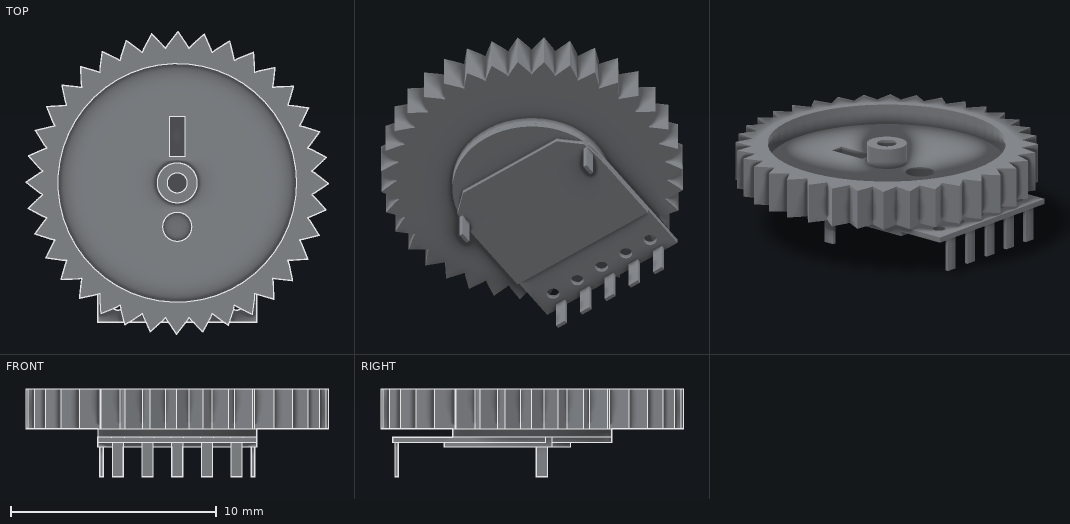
import cadquery as cq
import math


TOOTH_COUNT = 36
TIP_RADIUS = 7.35
TIP_LEAN = 0.037
SHOULDER_RADIUS = 6.72
SHOULDER_HALF_WIDTH = 0.47
ROOT_RADIUS = 6.55
RIM_THICKNESS = 1.94
RECESS_RADIUS = 5.79
RECESS_DEPTH = 1.0
HUB_RADIUS = 0.97
BORE_RADIUS = HUB_RADIUS / 2
SLOT_WIDTH = 0.74
SLOT_INNER_Y = 1.28
SLOT_LENGTH = 1.94
POCKET_RADIUS = 0.7
POCKET_Y = -2.13
POCKET_DEPTH = 0.5
COLLAR_RADIUS = 3.87
COLLAR_HEIGHT = 0.4

BOARD_THICKNESS = 0.26
BOARD_FRONT_Y = -6.78
TERMINAL_COUNT = 5
TERMINAL_PITCH = 1.44
TERMINAL_WIDTH = 0.55
TERMINAL_THICKNESS = 0.18
TERMINAL_Y = -6.59
TERMINAL_HOLE_RADIUS = 0.31
TERMINAL_HOLE_Y = -5.87

BRACKET_THICKNESS = 0.22
BRACKET_FRONT_Y = -4.28
BRACKET_BACK_Y = 1.87
BRACKET_BACK_HALF_WIDTH = 2.78
SIDE_ARC_START_Y = -0.74
TAB_FRONT_Y = 0.65
TAB_BACK_Y = 0.95
TAB_INNER_X = 3.56
LEG_INNER_X = 3.59
LEG_THICKNESS = 0.18
LEG_WIDTH = 0.56
LEG_Y = 0.47
LEG_LENGTH = 1.44

RIM_BOTTOM_Z = COLLAR_HEIGHT
WHEEL_TOP_Z = RIM_BOTTOM_Z + RIM_THICKNESS
RECESS_FLOOR_Z = WHEEL_TOP_Z - RECESS_DEPTH
BOARD_BOTTOM_Z = -BOARD_THICKNESS
BRACKET_BOTTOM_Z = BOARD_BOTTOM_Z - BRACKET_THICKNESS
PIN_BOTTOM_Z = BRACKET_BOTTOM_Z - LEG_LENGTH


def box(x_range, y_range, z_range):
    """Box between two limits along each axis."""
    sizes = [high - low for low, high in (x_range, y_range, z_range)]
    return cq.Workplane("XY").box(*sizes, centered=False).translate((x_range[0], y_range[0], z_range[0]))


def cylinder(radius, bottom_z, top_z, y=0.0):
    """Upright cylinder centred at X = 0."""
    return cq.Workplane("XY", origin=(0, y, bottom_z)).circle(radius).extrude(top_z - bottom_z)


def tooth_outline():
    """Closed list of points around all the teeth, clockwise."""
    half_pitch = math.pi / TOOTH_COUNT
    shoulder_y = math.sqrt(SHOULDER_RADIUS**2 - SHOULDER_HALF_WIDTH**2)
    one_tooth = [
        (-ROOT_RADIUS * math.sin(half_pitch), ROOT_RADIUS * math.cos(half_pitch)),
        (-SHOULDER_HALF_WIDTH, shoulder_y),
        (TIP_LEAN, TIP_RADIUS),
        (SHOULDER_HALF_WIDTH, shoulder_y),
    ]
    points = []
    for tooth in range(TOOTH_COUNT):
        turn = 2 * half_pitch * tooth
        for x, y in one_tooth:
            points.append(
                (
                    x * math.cos(turn) + y * math.sin(turn),
                    y * math.cos(turn) - x * math.sin(turn),
                )
            )
    return points


def make_wheel():
    """Dished toothed wheel with a central hub above and a collar below."""
    rim_base = cq.Workplane("XY", origin=(0, 0, RIM_BOTTOM_Z))
    rim = rim_base.polyline(tooth_outline()).close().extrude(RIM_THICKNESS)
    recess = cylinder(RECESS_RADIUS, RECESS_FLOOR_Z, WHEEL_TOP_Z)
    hub = cylinder(HUB_RADIUS, RECESS_FLOOR_Z, WHEEL_TOP_Z)
    collar = cylinder(COLLAR_RADIUS, 0, RIM_BOTTOM_Z)
    bore = cylinder(BORE_RADIUS, 0, WHEEL_TOP_Z)
    slot = box(
        (-SLOT_WIDTH / 2, SLOT_WIDTH / 2),
        (SLOT_INNER_Y, SLOT_INNER_Y + SLOT_LENGTH),
        (0, RECESS_FLOOR_Z),
    )
    pocket = cylinder(POCKET_RADIUS, RECESS_FLOOR_Z - POCKET_DEPTH, RECESS_FLOOR_Z, POCKET_Y)
    return rim.cut(recess).union(hub).union(collar).cut(bore).cut(slot).cut(pocket)


def bracket_outline(bottom_z, height):
    """Slab with the bracket's full outline: straight sides, bent in towards a chamfered back."""
    arc_end_x = math.sqrt(COLLAR_RADIUS**2 - TAB_BACK_Y**2)
    return (
        cq.Workplane("XY", origin=(0, 0, bottom_z))
        .moveTo(-COLLAR_RADIUS, BRACKET_FRONT_Y)
        .lineTo(COLLAR_RADIUS, BRACKET_FRONT_Y)
        .lineTo(COLLAR_RADIUS, SIDE_ARC_START_Y)
        .tangentArcPoint((arc_end_x, TAB_BACK_Y), relative=False)
        .lineTo(BRACKET_BACK_HALF_WIDTH, BRACKET_BACK_Y)
        .lineTo(-BRACKET_BACK_HALF_WIDTH, BRACKET_BACK_Y)
        .lineTo(-arc_end_x, TAB_BACK_Y)
        .threePointArc(side_arc_middle(arc_end_x), (-COLLAR_RADIUS, SIDE_ARC_START_Y))
        .close()
        .extrude(height)
    )


def side_arc_middle(arc_end_x):
    """Middle point of the left side arc, which is tangent to the straight side."""
    inset = COLLAR_RADIUS - arc_end_x
    rise = TAB_BACK_Y - SIDE_ARC_START_Y
    radius = (inset**2 + rise**2) / (2 * inset)
    half_angle = math.asin(rise / radius) / 2
    return (
        -COLLAR_RADIUS + radius * (1 - math.cos(half_angle)),
        SIDE_ARC_START_Y + radius * math.sin(half_angle),
    )


def tab_zones():
    """Spaces at the left and right of the board that the bracket's tabs rise through."""
    y_range = (TAB_FRONT_Y, TAB_BACK_Y)
    z_range = (BOARD_BOTTOM_Z, 0)
    right = box((TAB_INNER_X, COLLAR_RADIUS), y_range, z_range)
    left = box((-COLLAR_RADIUS, -TAB_INNER_X), y_range, z_range)
    return right.union(left)


def make_board():
    """Notched board with a row of flat terminals and a round hole behind each one."""
    board = cylinder(COLLAR_RADIUS, BOARD_BOTTOM_Z, 0).union(
        box((-COLLAR_RADIUS, COLLAR_RADIUS), (BOARD_FRONT_Y, 0), (BOARD_BOTTOM_Z, 0))
    )
    board = board.cut(tab_zones())
    for index in range(TERMINAL_COUNT):
        x = (index - (TERMINAL_COUNT - 1) / 2) * TERMINAL_PITCH
        hole = cylinder(TERMINAL_HOLE_RADIUS, BOARD_BOTTOM_Z, 0, TERMINAL_HOLE_Y).translate((x, 0, 0))
        terminal = box(
            (x - TERMINAL_WIDTH / 2, x + TERMINAL_WIDTH / 2),
            (TERMINAL_Y - TERMINAL_THICKNESS / 2, TERMINAL_Y + TERMINAL_THICKNESS / 2),
            (PIN_BOTTOM_Z, BOARD_BOTTOM_Z),
        )
        board = board.cut(hole).union(terminal)
    return board


def make_bracket():
    """Flat bracket with a tab and a leg on each side."""
    slab = bracket_outline(BRACKET_BOTTOM_Z, BRACKET_THICKNESS)
    tabs = bracket_outline(BOARD_BOTTOM_Z, BOARD_THICKNESS).intersect(tab_zones())
    bracket = slab.union(tabs)
    for inner_x in (LEG_INNER_X, -LEG_INNER_X - LEG_THICKNESS):
        leg = box(
            (inner_x, inner_x + LEG_THICKNESS),
            (LEG_Y - LEG_WIDTH / 2, LEG_Y + LEG_WIDTH / 2),
            (PIN_BOTTOM_Z, BRACKET_BOTTOM_Z),
        )
        bracket = bracket.union(leg)
    return bracket


wheel = make_wheel()
board = make_board()
bracket = make_bracket()

result = cq.Compound.makeCompound([part.solids().val() for part in (wheel, board, bracket)])